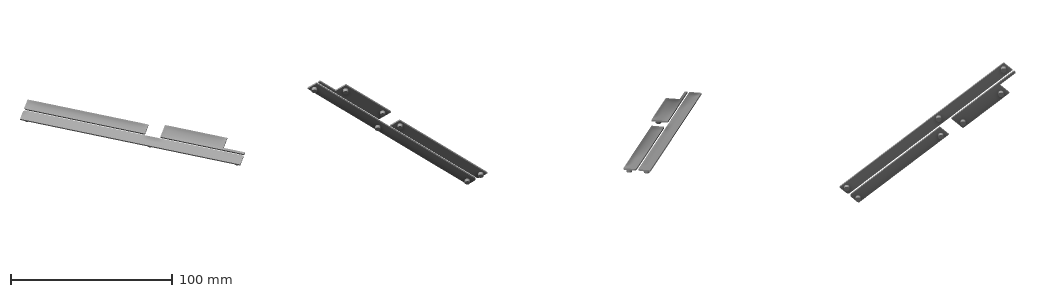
import cadquery as cq

total_length = 142.0
total_width = 19.6
total_height = 3.0
plate_thickness = 1.0
corner_radius = 1.7
pin_diameter = 3.5

front_width = 7.8
front_pin_y = 3.1
front_right_pin_inset = 3.0
front_left_pin_x = 3.5
front_middle_pin_x = 82.9

strip_gap = 1.3
rear_front_y = front_width + strip_gap
rear_pin_inset = 3.7

left_length = 78.0
left_width = 8.1
left_pin_x = 2.7
left_pin_y = rear_front_y + left_width - front_pin_y

right_start_x = 87.9
block_end_x = 128.1
tail_width = 1.7
right_pin_y = total_width - rear_pin_inset

plate_bottom_z = total_height - plate_thickness


def extrude_plate(outline):
    """Make a flat plate from a closed list of XY points."""
    return cq.Workplane("XY", origin=(0, 0, plate_bottom_z)).polyline(outline).close().extrude(plate_thickness)


def round_corner(plate, corner_y):
    """Round the plate's vertical edge at X = 0 and the given Y."""
    nearest = cq.selectors.NearestToPointSelector((0, corner_y, plate_bottom_z + plate_thickness / 2))
    return plate.edges("|Z").edges(nearest).fillet(corner_radius)


def add_pins(plate, pin_xs, pin_y):
    """Add a row of round pins below the plate, ending at Z = 0."""
    for pin_x in pin_xs:
        pin = cq.Workplane("XY").center(pin_x, pin_y).circle(pin_diameter / 2).extrude(plate_bottom_z)
        plate = plate.union(pin)
    return plate


def make_front_strip():
    plate = extrude_plate([
        (0, 0),
        (total_length, 0),
        (total_length, front_width),
        (0, front_width),
    ])
    plate = round_corner(plate, front_width)
    pin_xs = [front_left_pin_x, front_middle_pin_x, total_length - front_right_pin_inset]
    return add_pins(plate, pin_xs, front_pin_y)


def make_rear_left_strip():
    back_y = rear_front_y + left_width
    plate = extrude_plate([
        (0, rear_front_y),
        (left_length, rear_front_y),
        (left_length, back_y),
        (0, back_y),
    ])
    plate = round_corner(plate, rear_front_y)
    return add_pins(plate, [left_pin_x, left_length - rear_pin_inset], left_pin_y)


def make_rear_right_strip():
    tail_back_y = rear_front_y + tail_width
    plate = extrude_plate([
        (right_start_x, rear_front_y),
        (total_length, rear_front_y),
        (total_length, tail_back_y),
        (block_end_x, tail_back_y),
        (block_end_x, total_width),
        (right_start_x, total_width),
    ])
    pin_xs = [right_start_x + rear_pin_inset, block_end_x - rear_pin_inset]
    return add_pins(plate, pin_xs, right_pin_y)


front_strip = make_front_strip()
rear_left_strip = make_rear_left_strip()
rear_right_strip = make_rear_right_strip()

result = cq.Compound.makeCompound([
    front_strip.val(),
    rear_left_strip.val(),
    rear_right_strip.val(),
])